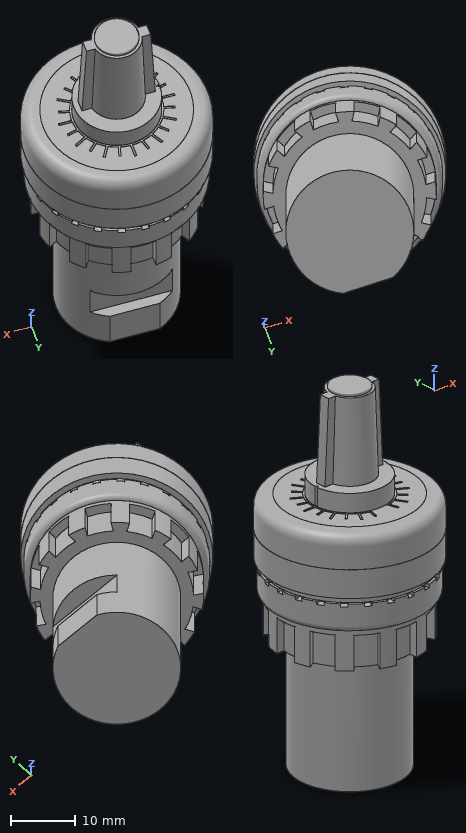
import cadquery as cq
import math

TOTAL_HEIGHT = 65.9

BARREL_DIA = 20.0
FLANGE_DIA = 30.0
FLANGE_BOTTOM = 36.0
FLANGE_TOP = 41.0
BARREL_FLAT_Y = 9.1
BARREL_FLAT_TOP = 6.6
BARREL_NOTCH_Y = 7.3
BARREL_NOTCH_TOP = 12.05

BEZEL_DIA = 30.05
BEZEL_TOP = 47.0
BEZEL_FILLET = 2.0

DIAL_DIA = 24.0
DIAL_THICKNESS = 0.65
SCALE_DEPTH = 0.05
SCALE_BAND_WIDTH = 0.3
TICK_WIDTH = 0.3
LONG_TICK_END = 9.5
SHORT_TICK_END = 9.1
TICK_STEP = 15
FIRST_TICK_ANGLE = -75
TICK_COUNT = 23

COLLAR_DIA = 14.05
COLLAR_TOP = 50.35
GRIP_TOP = 65.45
POINTER_WIDTH = 0.6
POINTER_DEPTH = 0.45
GRIP_BOTTOM_DIA = 8.95
GRIP_TOP_DIA = 8.0
CAP_DISC_DIA = 7.0
CAP_DISC_FILLET = 0.1
FIN_WIDTH = 2.0
FIN_BOTTOM_SPAN = 12.05
FIN_TOP_SPAN = 10.55

GASKET_DIA = 28.0
NUT_TOP = 34.8

RIM_DIA = 29.0
RIM_BOTTOM = 29.8
RIM_FILLET = 1.0
RIM_NOTCH_COUNT = 24
RIM_NOTCH_WIDTH = 1.2
RIM_NOTCH_DEPTH = 0.5
RIM_NOTCH_LENGTH = 1.3
GRIP_RING_DIA = 27.0
GRIP_RING_BOTTOM = 22.7
SLOT_COUNT = 12
SLOT_WIDTH = 4.15
SLOT_FLOOR_DIA = 24.0
SLOT_TOP = 28.85


def cylinder(diameter, bottom, top):
    """Solid cylinder about Z between two heights."""
    return cq.Workplane("XY").workplane(offset=bottom).circle(diameter / 2).extrude(top - bottom)


def tube(outer_dia, inner_dia, bottom, top):
    """Hollow cylinder about Z between two heights."""
    return cylinder(outer_dia, bottom, top).cut(cylinder(inner_dia, bottom, top))


def radial_block(inner_radius, outer_radius, width, bottom, top, angle):
    """Box that runs outward from the Z axis at the given angle from +X."""
    block = cq.Workplane("XY").box(
        outer_radius - inner_radius, width, top - bottom, centered=(False, True, False)
    )
    return block.translate((inner_radius, 0, bottom)).rotate((0, 0, 0), (0, 0, 1), angle)


def plane_cut(flat_y, bottom, top):
    """Block that removes everything beyond flat_y on the +Y side of the barrel."""
    depth = BARREL_DIA / 2 - flat_y
    return (
        cq.Workplane("XY")
        .box(BARREL_DIA, depth, top - bottom, centered=(True, False, False))
        .translate((0, flat_y, bottom))
    )


def make_housing():
    barrel = cylinder(BARREL_DIA, 0, FLANGE_BOTTOM)
    barrel = barrel.cut(plane_cut(BARREL_FLAT_Y, 0, BARREL_FLAT_TOP))
    barrel = barrel.cut(plane_cut(BARREL_NOTCH_Y, BARREL_FLAT_TOP, BARREL_NOTCH_TOP))
    return barrel.union(cylinder(FLANGE_DIA, FLANGE_BOTTOM, FLANGE_TOP))


def make_bezel():
    bezel = cylinder(BEZEL_DIA, FLANGE_TOP, BEZEL_TOP).faces(">Z").edges().fillet(BEZEL_FILLET)
    return bezel.cut(cylinder(DIAL_DIA, BEZEL_TOP - DIAL_THICKNESS, BEZEL_TOP))


def make_dial():
    """Dial plate with an engraved graduation: a band around the knob and its ticks."""
    dial = cylinder(DIAL_DIA, BEZEL_TOP - DIAL_THICKNESS, BEZEL_TOP)
    scale_bottom = BEZEL_TOP - SCALE_DEPTH
    collar_radius = COLLAR_DIA / 2
    band_radius = collar_radius + SCALE_BAND_WIDTH
    scale = tube(2 * band_radius, COLLAR_DIA, scale_bottom, BEZEL_TOP)
    last_tick_angle = FIRST_TICK_ANGLE + (TICK_COUNT - 1) * TICK_STEP
    gap_reach = 2 * band_radius
    gap_points = [
        (gap_reach * math.cos(math.radians(angle)), gap_reach * math.sin(math.radians(angle)))
        for angle in (last_tick_angle, FIRST_TICK_ANGLE)
    ]
    gap = (
        cq.Workplane("XY")
        .workplane(offset=scale_bottom)
        .polyline([(0, 0), *gap_points])
        .close()
        .extrude(SCALE_DEPTH)
    )
    scale = scale.cut(gap)
    for index in range(TICK_COUNT):
        angle = FIRST_TICK_ANGLE + index * TICK_STEP
        is_long = angle % (2 * TICK_STEP) == 0
        tick_end = LONG_TICK_END if is_long else SHORT_TICK_END
        scale = scale.union(
            radial_block(collar_radius, tick_end, TICK_WIDTH, scale_bottom, BEZEL_TOP, angle)
        )
    return dial.cut(scale)


def make_knob():
    collar = cylinder(COLLAR_DIA, BEZEL_TOP, COLLAR_TOP)
    collar_radius = COLLAR_DIA / 2
    pointer = (
        cq.Workplane("XY")
        .workplane(offset=BEZEL_TOP)
        .polyline([
            (POINTER_DEPTH - collar_radius, 0),
            (-collar_radius - POINTER_DEPTH, POINTER_WIDTH),
            (-collar_radius - POINTER_DEPTH, -POINTER_WIDTH),
        ])
        .close()
        .extrude(COLLAR_TOP - BEZEL_TOP)
    )
    collar = collar.cut(pointer)

    grip = (
        cq.Workplane("XY")
        .workplane(offset=COLLAR_TOP)
        .circle(GRIP_BOTTOM_DIA / 2)
        .workplane(offset=GRIP_TOP - COLLAR_TOP)
        .circle(GRIP_TOP_DIA / 2)
        .loft()
    )
    cap_disc = cylinder(CAP_DISC_DIA, GRIP_TOP, TOTAL_HEIGHT).faces(">Z").edges().fillet(CAP_DISC_FILLET)
    fins = (
        cq.Workplane("XZ")
        .polyline([
            (-FIN_BOTTOM_SPAN / 2, COLLAR_TOP),
            (FIN_BOTTOM_SPAN / 2, COLLAR_TOP),
            (FIN_TOP_SPAN / 2, GRIP_TOP),
            (-FIN_TOP_SPAN / 2, GRIP_TOP),
        ])
        .close()
        .extrude(FIN_WIDTH / 2, both=True)
    )
    return collar.union(grip).union(fins).union(cap_disc)


def make_gasket():
    return tube(GASKET_DIA, BARREL_DIA, NUT_TOP, FLANGE_BOTTOM)


def make_nut():
    rim = cylinder(RIM_DIA, RIM_BOTTOM, NUT_TOP).faces("<Z").edges().fillet(RIM_FILLET)
    rim_radius = RIM_DIA / 2
    for index in range(RIM_NOTCH_COUNT):
        angle = index * 360 / RIM_NOTCH_COUNT
        rim = rim.cut(
            radial_block(
                rim_radius - RIM_NOTCH_LENGTH,
                rim_radius,
                RIM_NOTCH_WIDTH,
                NUT_TOP - RIM_NOTCH_DEPTH,
                NUT_TOP,
                angle,
            )
        )

    grip_ring = cylinder(GRIP_RING_DIA, GRIP_RING_BOTTOM, RIM_BOTTOM)
    slot_floor = cylinder(SLOT_FLOOR_DIA, GRIP_RING_BOTTOM, SLOT_TOP)
    for index in range(SLOT_COUNT):
        angle = index * 360 / SLOT_COUNT
        slot = radial_block(0, GRIP_RING_DIA / 2, SLOT_WIDTH, GRIP_RING_BOTTOM, SLOT_TOP, angle)
        grip_ring = grip_ring.cut(slot.cut(slot_floor))

    bore = cylinder(BARREL_DIA, GRIP_RING_BOTTOM, NUT_TOP)
    return rim.union(grip_ring).cut(bore)


housing = make_housing()
bezel = make_bezel()
dial = make_dial()
knob = make_knob()
gasket = make_gasket()
nut = make_nut()

result = cq.Compound.makeCompound([
    housing.val(),
    bezel.val(),
    dial.val(),
    knob.val(),
    gasket.val(),
    nut.val(),
])